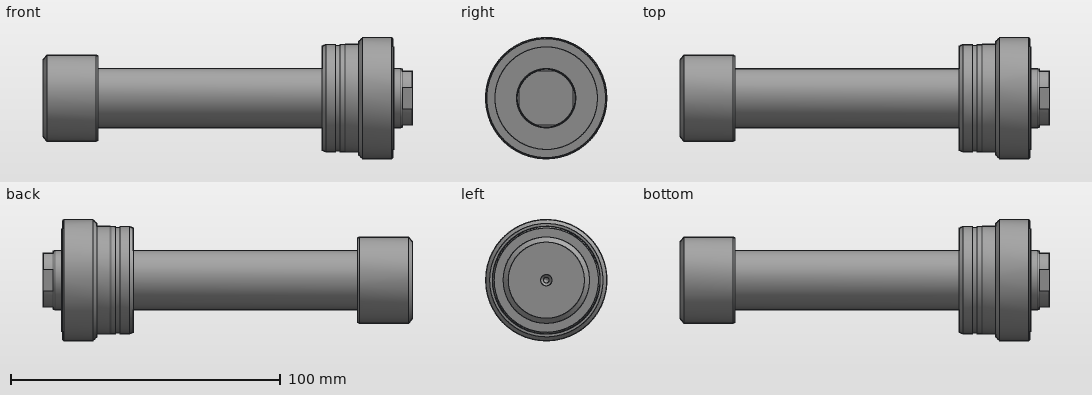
import cadquery as cq


total_length = 137.0
head_radius = 16.0
head_length = 20.5
head_front_chamfer_length = 1.5
head_face_radius = 14.1
head_back_chamfer_length = 0.8
head_back_chamfer_depth = 0.4
shaft_radius = 11.0
shaft_end_x = 133.2
shaft_end_chamfer_length = 0.8
drive_radius = 10.75
drive_chamfer = 0.2
drive_across_flats = 20.0
drive_flat_count = 4

centre_mouth_radius = 2.1
centre_pilot_radius = 1.05
centre_countersink_depth = 1.8
centre_pilot_depth = 4.0
centre_tip_depth = 4.6

sleeve_start_x = 103.5
sleeve_radius = 20.0
sleeve_chamfer_length = 1.3
sleeve_chamfer_depth = 0.6
groove_start_x = 108.5
groove_width = 1.6
groove_depth = 0.3
seat_step_x = 111.8
seat_step_length = 0.4
seat_step_height = 0.1
flange_start_x = 117.0
flange_end_x = 129.7
flange_radius = 22.5
flange_front_chamfer = 1.5
flange_back_chamfer = 0.5
spigot_radius = 19.0
spigot_length = 0.3
bore_chamfer = 1.0


def revolve_about_x(points):
    """Turn a closed (x, radius) outline about the X axis."""
    return cq.Workplane("XY").polyline(points).close().revolve(360, (0, 0, 0), (1, 0, 0))


def make_spindle():
    turned = revolve_about_x([
        (centre_tip_depth, 0),
        (centre_pilot_depth, centre_pilot_radius),
        (centre_countersink_depth, centre_pilot_radius),
        (0, centre_mouth_radius),
        (0, head_face_radius),
        (head_front_chamfer_length, head_radius),
        (head_length - head_back_chamfer_length, head_radius),
        (head_length, head_radius - head_back_chamfer_depth),
        (head_length, shaft_radius),
        (shaft_end_x - shaft_end_chamfer_length, shaft_radius),
        (shaft_end_x, drive_radius),
        (total_length - drive_chamfer, drive_radius),
        (total_length, drive_radius - drive_chamfer),
        (total_length, 0),
    ])
    return cut_drive_flats(turned)


def cut_drive_flats(spindle_blank):
    """Cut the flats evenly spaced around the driving end."""
    block = cq.Workplane("XY").box(
        total_length - shaft_end_x, 2 * shaft_radius, shaft_radius, centered=(False, True, False)
    ).translate((shaft_end_x, 0, drive_across_flats / 2))
    flat_spacing = 360 / drive_flat_count
    for index in range(drive_flat_count):
        cutter = block.rotate((0, 0, 0), (1, 0, 0), index * flat_spacing)
        spindle_blank = spindle_blank.cut(cutter)
    return spindle_blank


def make_bushing():
    front_radius = sleeve_radius - seat_step_height
    groove_radius = front_radius - groove_depth
    groove_end_x = groove_start_x + groove_width
    spigot_end_x = flange_end_x + spigot_length
    return revolve_about_x([
        (sleeve_start_x + bore_chamfer, shaft_radius),
        (sleeve_start_x, shaft_radius + bore_chamfer),
        (sleeve_start_x, front_radius - sleeve_chamfer_depth),
        (sleeve_start_x + sleeve_chamfer_length, front_radius),
        (groove_start_x, front_radius),
        (groove_start_x, groove_radius),
        (groove_end_x, groove_radius),
        (groove_end_x, front_radius),
        (seat_step_x, front_radius),
        (seat_step_x + seat_step_length, sleeve_radius),
        (flange_start_x, sleeve_radius),
        (flange_start_x, flange_radius - flange_front_chamfer),
        (flange_start_x + flange_front_chamfer, flange_radius),
        (flange_end_x - flange_back_chamfer, flange_radius),
        (flange_end_x, flange_radius - flange_back_chamfer),
        (flange_end_x, spigot_radius),
        (spigot_end_x, spigot_radius),
        (spigot_end_x, shaft_radius),
    ])


spindle = make_spindle()
bushing = make_bushing()

result = cq.Compound.makeCompound([spindle.val(), bushing.val()])